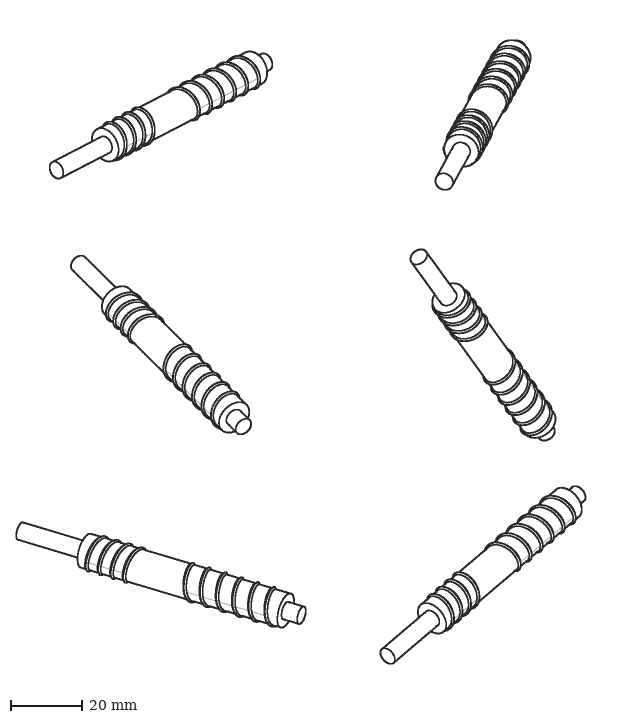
import cadquery as cq

total_length = 90.0
pin_length = 5.0
rod_length = 21.0
journal_diameter = 5.1
body_diameter = 10.0
body_radius = body_diameter / 2

body_rear_y = total_length / 2 - pin_length
body_front_y = -total_length / 2 + rod_length

rib_outer_diameter = 11.0
rib_height = (rib_outer_diameter - body_diameter) / 2
rib_base_width = 1.1
rib_embed = 0.2
rib_end_inset = 1.0
rear_advance = 31.1
rear_turns = 6
front_advance = 16.0
front_turns = 4


def shaft():
    journals = (
        cq.Workplane("XZ", origin=(0, total_length / 2, 0))
        .circle(journal_diameter / 2)
        .extrude(total_length)
    )
    body = (
        cq.Workplane("XZ", origin=(0, body_rear_y, 0))
        .circle(body_radius)
        .extrude(body_rear_y - body_front_y)
    )
    return journals.union(body)


def helical_rib(advance, turns):
    """Rib starting on the -X side at Y = 0 and winding through -Z towards -Y."""
    path = cq.Wire.makeHelix(advance / turns, advance, body_radius)
    root_half_width = rib_base_width / 2 * (rib_height + rib_embed) / rib_height
    root_radius = body_radius - rib_embed
    rib = (
        cq.Workplane("XZ")
        .moveTo(root_radius, -root_half_width)
        .lineTo(body_radius + rib_height, 0)
        .lineTo(root_radius, root_half_width)
        .close()
        .sweep(cq.Workplane(path), isFrenet=True)
    )
    winding_plane = cq.Plane(origin=(0, 0, 0), xDir=(-1, 0, 0), normal=(0, -1, 0))
    return cq.Workplane(rib.val().moved(cq.Location(winding_plane)))


rear_rib = helical_rib(rear_advance, rear_turns).translate((0, body_rear_y - rib_end_inset, 0))

front_rib = (
    helical_rib(front_advance, front_turns)
    .mirror("XZ")
    .translate((0, body_front_y + rib_end_inset, 0))
)

result = shaft().union(rear_rib).union(front_rib)